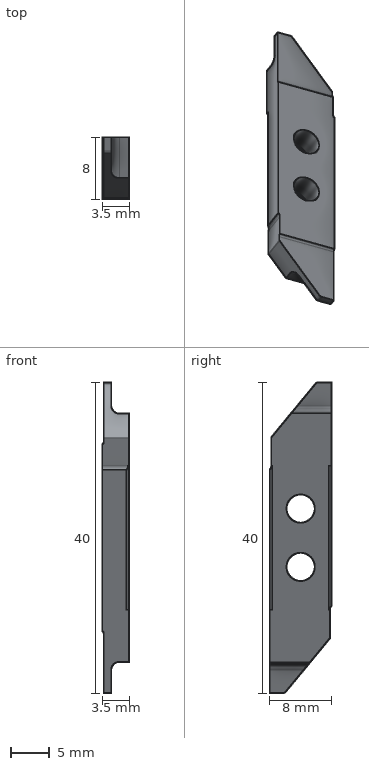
import cadquery as cq
import math

thickness = 3.5
width = 8.0
length = 40.0

pad_height = 0.2
pad_half_length = 12.0
pad_root_radius = 0.35
tip_thickness = 1.0
ledge_half_length = 16.0
ledge_radius = 1.0

side_step = 0.2
side_half_length = 8.75
side_root_radius = 0.7
slope_start = 12.9
tip_width = 1.95
tip_corner_radius = 0.45
shoulder_radius = 0.15

bevel = 0.375

hole_diameter = 3.6
hole_spacing = 7.5

half_thickness = thickness / 2
half_width = width / 2
half_length = length / 2


def half_turn(shape):
    """Copy of a shape turned half a turn about the X axis."""
    return shape.rotate((0, 0, 0), (1, 0, 0), 180)


def root_arc(edge, step, edge_z, radius):
    """Middle and end of the hollow arc that leads from an edge up to a face set in by a step.

    The arc starts at (edge, edge_z) and runs tangentially into the inset face.
    """
    centre = edge + step - radius
    sweep = math.acos((edge - centre) / radius)
    centre_z = edge_z + radius * math.sin(sweep)
    middle = (centre + radius * math.cos(sweep / 2), centre_z - radius * math.sin(sweep / 2))
    end = (edge + step, centre_z)
    return middle, end


def thickness_profile():
    """Upper half of the X-Z profile, extruded over the whole width."""
    pad_x = -half_thickness
    tip_x = pad_x + pad_height
    notch_x = tip_x + tip_thickness

    root_middle, root_end = root_arc(pad_x, pad_height, pad_half_length, pad_root_radius)
    ledge_arc_offset = ledge_radius * (1 - math.sqrt(0.5))

    return (
        cq.Workplane("XZ")
        .moveTo(pad_x, 0)
        .lineTo(pad_x, pad_half_length)
        .threePointArc(root_middle, root_end)
        .lineTo(tip_x, half_length)
        .lineTo(notch_x, half_length)
        .lineTo(notch_x, ledge_half_length + ledge_radius)
        .threePointArc(
            (notch_x + ledge_arc_offset, ledge_half_length + ledge_arc_offset),
            (notch_x + ledge_radius, ledge_half_length),
        )
        .lineTo(half_thickness, ledge_half_length)
        .lineTo(half_thickness, 0)
        .close()
        .extrude(half_width, both=True)
    )


def face_outline():
    """Upper half of the Y-Z outline, extruded through the whole thickness."""
    inset_y = -half_width + side_step
    tip_y = half_width - tip_width
    root_middle, root_end = root_arc(-half_width, side_step, side_half_length, side_root_radius)
    blank = (
        cq.Workplane("YZ")
        .moveTo(half_width, 0)
        .lineTo(half_width, half_length)
        .lineTo(tip_y, half_length)
        .lineTo(inset_y, slope_start)
        .lineTo(*root_end)
        .threePointArc(root_middle, (-half_width, side_half_length))
        .lineTo(-half_width, 0)
        .close()
        .extrude(half_thickness, both=True)
    )
    reach = 0.01
    tip_corner = cq.selectors.BoxSelector(
        (-thickness, tip_y - reach, half_length - reach),
        (thickness, tip_y + reach, half_length + reach),
    )
    shoulder = cq.selectors.BoxSelector(
        (-thickness, inset_y - reach, slope_start - reach),
        (thickness, inset_y + reach, slope_start + reach),
    )
    return blank.edges(tip_corner).fillet(tip_corner_radius).edges(shoulder).fillet(shoulder_radius)


def side_bevel():
    """Wedge that bevels the +X edge of the -Y side."""
    _, (_, bevel_end) = root_arc(-half_width, side_step, side_half_length, side_root_radius)
    return (
        cq.Workplane("XY")
        .workplane(offset=-bevel_end)
        .moveTo(half_thickness, -half_width)
        .lineTo(half_thickness, -half_width + bevel)
        .lineTo(half_thickness - bevel, -half_width)
        .close()
        .extrude(2 * bevel_end)
    )


def mounting_holes():
    """Two round holes through the thickness, on the centre line."""
    return (
        cq.Workplane("YZ")
        .workplane(offset=-half_thickness)
        .pushPoints([(0, hole_spacing / 2), (0, -hole_spacing / 2)])
        .circle(hole_diameter / 2)
        .extrude(thickness)
    )


upper_half = thickness_profile().intersect(face_outline())
body = upper_half.union(half_turn(upper_half))
bevel_wedge = side_bevel()
result = body.cut(bevel_wedge).cut(half_turn(bevel_wedge)).cut(mounting_holes())